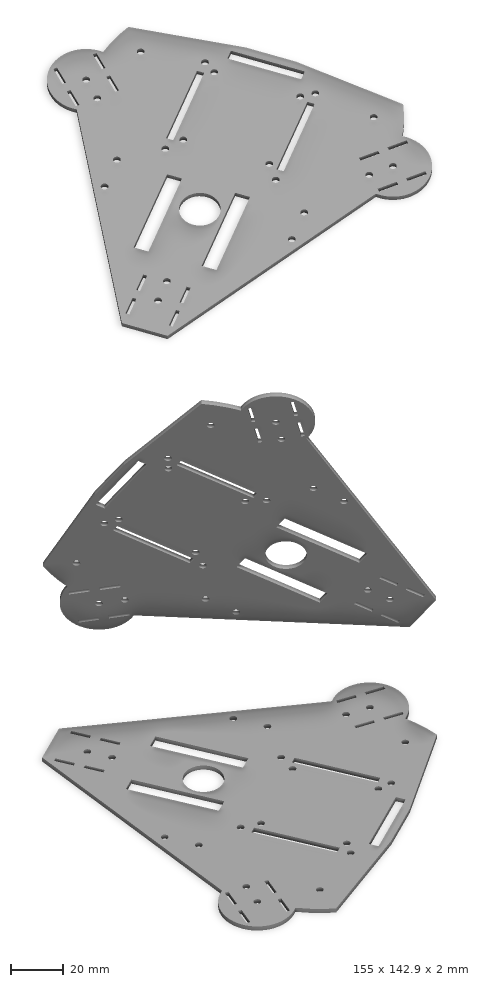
import cadquery as cq
import math

length = 155.0
width = 142.9
thickness = 2.0
rear_y = width / 2
front_y = -width / 2
rear_edge_half = 10.2
front_edge_half = 9.3
shoulder_x = 56.0
shoulder_y = 65.7
shoulder_arc_radius = 62.0

pod_radius = 15.0
pod_x = length / 2 - pod_radius
pod_y = 36.0
pod_joint_x = 60.9
pod_joint_rise = math.sqrt(pod_radius**2 - (pod_x - pod_joint_x) ** 2)

screw_diameter = 3.0
cable_hole_diameter = 16.0
cable_hole_y = -9.0
board_hole_x = 17.5
board_hole_spacing = 2 * board_hole_x
board_center_y = 38.5
holder_hole_x = 22.5
holder_hole_spacing = 45.0
holder_center_y = 36.9
shoulder_hole = (47.5, 56.0)
side_hole_x = 38.1
side_hole_y = (3.1, -10.8)

rear_slot = (30.0, 4.0)
rear_slot_y = 66.0
holder_slot = (3.0, 35.0)
wheel_slot = (6.0, 38.0)
wheel_slot_centers = [(-14.5, -16.1), (13.0, -15.8)]

mount_slot_width = 1.5
mount_slot_length = 8.0
mount_slot_step = 6.0
mount_screw_spacing = 10.0
front_mount_y = -56.4
front_mount_half_width = 8.8
pod_mount_half_width = 8.4
pod_mount_angle = 45.0


def make_plate():
    """Symmetrical plate with a round pod on each side."""
    joint_top = pod_y + pod_joint_rise
    joint_bottom = pod_y - pod_joint_rise
    return (
        cq.Workplane("XY")
        .moveTo(-front_edge_half, front_y)
        .lineTo(front_edge_half, front_y)
        .lineTo(pod_joint_x, joint_bottom)
        .threePointArc((length / 2, pod_y), (pod_joint_x, joint_top))
        .radiusArc((shoulder_x, shoulder_y), -shoulder_arc_radius)
        .lineTo(rear_edge_half, rear_y)
        .lineTo(-rear_edge_half, rear_y)
        .lineTo(-shoulder_x, shoulder_y)
        .radiusArc((-pod_joint_x, joint_top), -shoulder_arc_radius)
        .threePointArc((-length / 2, pod_y), (-pod_joint_x, joint_bottom))
        .close()
        .extrude(thickness)
    )


def screw_cutters(points):
    return cq.Workplane("XY").pushPoints(points).circle(screw_diameter / 2).extrude(thickness)


def slot_cutters(size, points):
    return cq.Workplane("XY").pushPoints(points).rect(*size).extrude(thickness)


def motor_mount_cutters(center, outward_angle, half_width):
    """Cutters around the outer screw; outward_angle is measured from +X."""
    slots = slot_cutters(
        (mount_slot_length, mount_slot_width),
        [(x, y) for x in (-mount_slot_step, mount_slot_step) for y in (-half_width, half_width)],
    )
    cutters = slots.union(screw_cutters([(0, 0), (-mount_screw_spacing, 0)]))
    return cutters.rotate((0, 0, 0), (0, 0, 1), outward_angle).translate((*center, 0))


result = make_plate()

screw_points = []
for side in (-1, 1):
    screw_points.append((side * shoulder_hole[0], shoulder_hole[1]))
    for y in side_hole_y:
        screw_points.append((side * side_hole_x, y))
    for end in (-1, 1):
        screw_points.append((side * board_hole_x, board_center_y + end * board_hole_spacing / 2))
        screw_points.append((side * holder_hole_x, holder_center_y + end * holder_hole_spacing / 2))
result = result.cut(screw_cutters(screw_points))

cable_hole = cq.Workplane("XY").center(0, cable_hole_y).circle(cable_hole_diameter / 2).extrude(thickness)
result = result.cut(cable_hole)

holder_slot_centers = [(side * holder_hole_x, holder_center_y) for side in (-1, 1)]
result = result.cut(slot_cutters(rear_slot, [(0, rear_slot_y)]))
result = result.cut(slot_cutters(holder_slot, holder_slot_centers))
result = result.cut(slot_cutters(wheel_slot, wheel_slot_centers))

result = result.cut(motor_mount_cutters((0, front_mount_y), -90, front_mount_half_width))
result = result.cut(motor_mount_cutters((pod_x, pod_y), pod_mount_angle, pod_mount_half_width))
result = result.cut(motor_mount_cutters((-pod_x, pod_y), 180 - pod_mount_angle, pod_mount_half_width))